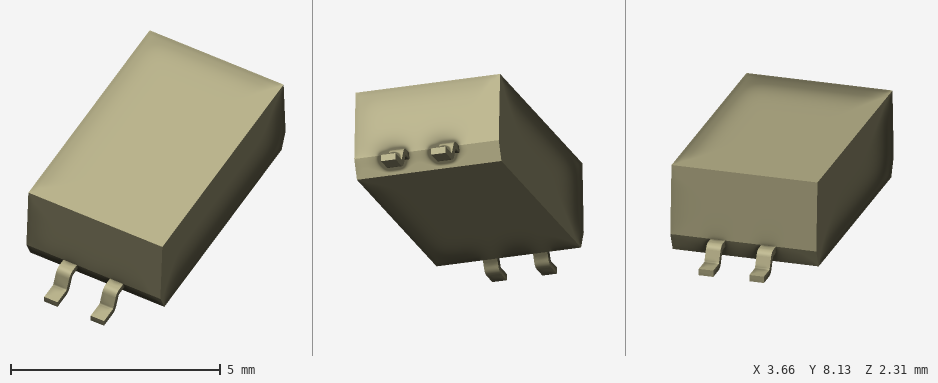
import cadquery as cq
import math

body_width = 3.66
overall_length = 8.13
overall_height = 2.31

parting_length = 6.21
top_length = 6.02
bottom_length = 5.82
standoff = 0.1
parting_height = 0.56

lead_width = 0.365
lead_thickness = 0.16
lead_pitch = 1.27
lead_slope = math.radians(65)
shoulder_y = 3.43
lead_root_y = 2.765
inner_bend_radius = 0.05
outer_bend_radius = inner_bend_radius + lead_thickness


def extrude_along_x(profile, width):
    """Extrude a YZ profile symmetrically about X = 0."""
    return profile.extrude(width / 2, both=True)


def make_body():
    profile = (
        cq.Workplane("YZ")
        .moveTo(-bottom_length / 2, standoff)
        .lineTo(bottom_length / 2, standoff)
        .lineTo(parting_length / 2, parting_height)
        .lineTo(top_length / 2, overall_height)
        .lineTo(-top_length / 2, overall_height)
        .lineTo(-parting_length / 2, parting_height)
        .close()
    )
    return extrude_along_x(profile, body_width)


def make_lead():
    """Lead on the +Y end, centred on X = 0 with its foot resting on Z = 0."""
    tip_y = overall_length / 2
    underside_z = parting_height - lead_thickness
    heel_y = shoulder_y + underside_z / math.tan(lead_slope)
    corner_shift = lead_thickness * math.tan(lead_slope / 2)

    profile = (
        cq.Workplane("YZ")
        .moveTo(lead_root_y, parting_height)
        .lineTo(shoulder_y, parting_height)
        .lineTo(heel_y, lead_thickness)
        .lineTo(tip_y, lead_thickness)
        .lineTo(tip_y, 0)
        .lineTo(heel_y - corner_shift, 0)
        .lineTo(shoulder_y - corner_shift, underside_z)
        .lineTo(lead_root_y, underside_z)
        .close()
    )
    lead = extrude_along_x(profile, lead_width)

    def bend_edge(y, z):
        return cq.selectors.NearestToPointSelector((0, y, z))

    lead = lead.edges("|X").edges(bend_edge(shoulder_y, parting_height)).fillet(outer_bend_radius)
    lead = lead.edges("|X").edges(bend_edge(heel_y - corner_shift, 0)).fillet(outer_bend_radius)
    lead = lead.edges("|X").edges(bend_edge(heel_y, lead_thickness)).fillet(inner_bend_radius)
    return lead.edges("|X").edges(bend_edge(shoulder_y - corner_shift, underside_z)).fillet(inner_bend_radius)


result = make_body()
end_lead = make_lead()
for x in (-lead_pitch / 2, lead_pitch / 2):
    lead = end_lead.translate((x, 0, 0))
    result = result.union(lead).union(lead.mirror("XZ"))